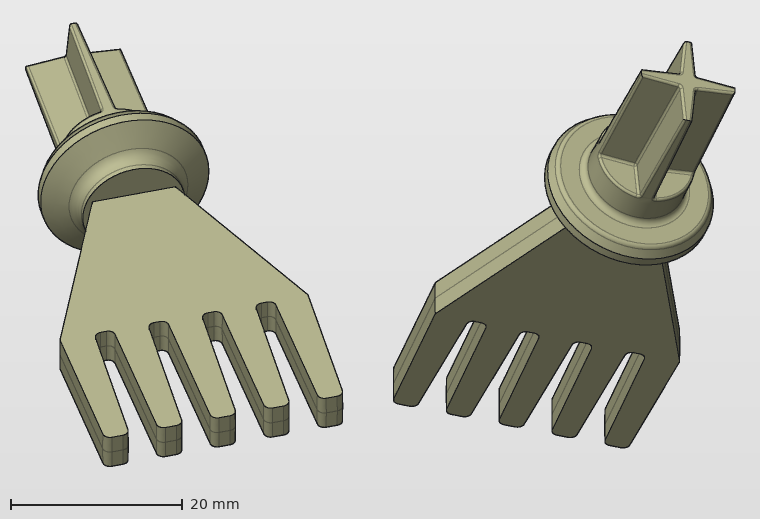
import cadquery as cq
import math

length = 67.05

shaft_end_diameter = 11.45
shaft_end_radius = shaft_end_diameter / 2
shaft_radius = 6.0
shaft_length = 19.4
pocket_length = 15.7
pocket_reach = 6.4
pocket_fillet = 0.3
blade_root_front = 0.95
blade_tip_front = 0.435
blade_root_back = 1.3
blade_tip_back = 0.8

collar_fillet = 0.8
collar_face_x = shaft_length + collar_fillet
collar_face_radius = 9.05
collar_edge_x = 20.6
collar_edge_radius = 9.6
rim_diameter = 20.3
rim_radius = rim_diameter / 2
rim_start = 21.65
rim_end = 22.85
neck_radius = 6.2
neck_arc_radius = 2.0
neck_arc_angle = math.radians(60)
neck_straight = 0.7
neck_end = 26.9

hand_thickness = 4.55
hand_draft = 0.4
hand_overlap = 1.35
wrist_width = 10.05
palm_end = 49.1
palm_width = 30.0
finger_count = 5
finger_tip_span = 28.9
finger_tip_width = 3.0
finger_pitch = (finger_tip_span - finger_tip_width) / (finger_count - 1)
finger_tip_fillet = 0.9
slot_root_width = 2.3
slot_root_fillet = 0.8


def make_shaft_and_collar():
    """Revolve the tapered shaft, the collar and the neck about the X axis."""
    arc_end_x = neck_end - neck_straight
    arc_start_x = arc_end_x - neck_arc_radius * math.sin(neck_arc_angle)
    arc_start_radius = neck_radius + neck_arc_radius * (1 - math.cos(neck_arc_angle))
    half_angle = neck_arc_angle / 2
    arc_mid_x = arc_end_x - neck_arc_radius * math.sin(half_angle)
    arc_mid_radius = neck_radius + neck_arc_radius * (1 - math.cos(half_angle))

    profile = (
        cq.Workplane("XY")
        .lineTo(0, shaft_end_radius)
        .lineTo(shaft_length, shaft_radius)
        .radiusArc((collar_face_x, shaft_radius + collar_fillet), -collar_fillet)
        .lineTo(collar_face_x, collar_face_radius)
        .tangentArcPoint((collar_edge_x, collar_edge_radius), relative=False)
        .lineTo(rim_start, rim_radius)
        .lineTo(rim_end, rim_radius)
        .lineTo(arc_start_x, arc_start_radius)
        .threePointArc((arc_mid_x, arc_mid_radius), (arc_end_x, neck_radius))
        .lineTo(neck_end, neck_radius)
        .lineTo(neck_end, 0)
        .close()
    )
    return profile.revolve(360, (0, 0, 0), (1, 0, 0))


def pocket_outline(root, tip):
    """Corner points, in Y and Z, of the gap between two neighbouring blades."""
    return [(root, root), (pocket_reach, tip), (pocket_reach, pocket_reach), (tip, pocket_reach)]


def make_pocket():
    """Tapered pocket between the +Y and +Z blades, rounded along its floor and inner corner."""
    pocket = (
        cq.Workplane("YZ")
        .polyline(pocket_outline(blade_root_front, blade_tip_front))
        .close()
        .workplane(offset=pocket_length)
        .polyline(pocket_outline(blade_root_back, blade_tip_back))
        .close()
        .loft(ruled=True)
    )
    inner_corner = (pocket_length / 2, blade_root_front, blade_root_front)
    pocket = pocket.edges(cq.NearestToPointSelector(inner_corner)).fillet(pocket_fillet)
    return pocket.faces(">X").edges().fillet(pocket_fillet)


def cut_pockets(body):
    """Cut four pockets, leaving a cross, and round the edges where they break out."""
    pocket = make_pocket()
    for quarter in range(4):
        body = body.cut(pocket.rotate((0, 0, 0), (1, 0, 0), 90 * quarter))

    side_seed = cq.Vertex.makeVertex(pocket_length / 2, shaft_radius, blade_tip_back)
    front_seed = cq.Vertex.makeVertex(0, shaft_radius / 2, blade_root_front)
    for quarter in range(4):
        rim_edges = []
        for seed in (side_seed, front_seed):
            point = seed.rotate((0, 0, 0), (1, 0, 0), 90 * quarter).toTuple()
            rim_edges.append(body.edges(cq.NearestToPointSelector(point)).val())
        body = body.newObject(rim_edges).fillet(pocket_fillet)
    return body


def make_hand():
    """Flat hand: a widening palm and tapered fingers parted by round-cornered slots."""
    wrist_x = neck_end - hand_overlap
    half_outline = [
        (wrist_x, wrist_width / 2),
        (neck_end, wrist_width / 2),
        (palm_end, palm_width / 2),
        (length, finger_tip_span / 2),
    ]
    other_half = [(x, -y) for x, y in reversed(half_outline)]
    hand = (
        cq.Workplane("XY")
        .polyline(half_outline + other_half)
        .close()
        .extrude(hand_thickness / 2)
    )

    slot_tip_width = finger_pitch - finger_tip_width
    slot = (
        cq.Workplane("XY")
        .moveTo(palm_end, -slot_root_width / 2)
        .lineTo(length, -slot_tip_width / 2)
        .lineTo(length, slot_tip_width / 2)
        .lineTo(palm_end, slot_root_width / 2)
        .close()
        .extrude(hand_thickness / 2)
        .faces("<X")
        .edges("|Z")
        .fillet(slot_root_fillet)
    )
    slot_count = finger_count - 1
    for index in range(slot_count):
        slot_y = (index - (slot_count - 1) / 2) * finger_pitch
        hand = hand.cut(slot.translate((0, slot_y, 0)))
    hand = hand.faces(">X").edges("|Z").fillet(finger_tip_fillet)

    mid_plane_outline = hand.faces("<Z").wires().val()
    upper_half = (
        cq.Workplane("XY")
        .add(mid_plane_outline)
        .toPending()
        .extrude(hand_thickness / 2, taper=hand_draft)
    )
    return upper_half.union(upper_half.mirror("XY"), clean=False)


result = cut_pockets(make_shaft_and_collar()).union(make_hand())